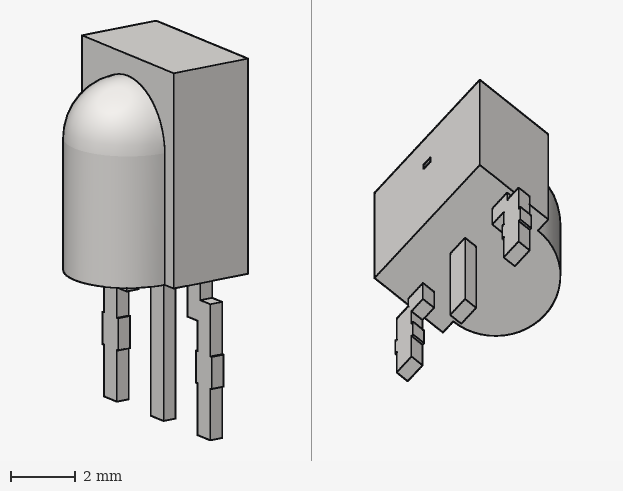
import cadquery as cq

OVERALL_HEIGHT = 11.95
OVERALL_WIDTH = 5.93

HOUSING_WIDTH = 5.0
HOUSING_DEPTH = 2.8
HOUSING_HEIGHT = 6.95

LENS_RADIUS = 2.01
LENS_COLUMN_HEIGHT = 4.25

PAD_SIZE = 0.32
PAD_HEIGHT = 0.01
PAD_CENTER_Z = 4.75

LEAD_LENGTH = OVERALL_HEIGHT - HOUSING_HEIGHT
LEAD_WIDTH = 0.7
LEAD_THICKNESS = 0.45
LEAD_FRONT_Y = 1.1

LEAD_ROOT_X = 2.0
JOG_TOP_DEPTH = 0.6
STOP_WIDTH = 0.85
STOP_TOP_DEPTH = 2.28
STOP_LENGTH = 1.04
LEAD_TIP_X = (OVERALL_WIDTH - STOP_WIDTH) / 2


def make_block(width, depth, height, center_x, front_y, bottom_z):
    """Box centred on center_x, reaching back from front_y and up from bottom_z."""
    block = cq.Workplane("XY").box(width, depth, height, centered=(True, False, False))
    return block.translate((center_x, front_y, bottom_z))


def make_lens():
    """Full round column with a spherical top; its rear half lies inside the housing."""
    column = cq.Workplane("XY").circle(LENS_RADIUS).extrude(LENS_COLUMN_HEIGHT)
    dome = cq.Workplane("XY").sphere(LENS_RADIUS).translate((0, 0, LENS_COLUMN_HEIGHT))
    return column.union(dome)


def make_housing():
    block = make_block(HOUSING_WIDTH, HOUSING_DEPTH, HOUSING_HEIGHT, 0, 0, 0)
    pad = make_block(PAD_SIZE, PAD_HEIGHT, PAD_SIZE, 0, HOUSING_DEPTH, PAD_CENTER_Z - PAD_SIZE / 2)
    return block.union(make_lens()).union(pad)


def make_strip(width, center_x, top_depth, bottom_depth):
    """Straight piece of lead between two depths below the housing."""
    length = bottom_depth - top_depth
    return make_block(width, LEAD_THICKNESS, length, center_x, LEAD_FRONT_Y, -bottom_depth)


def make_center_lead():
    return make_strip(LEAD_WIDTH, 0, 0, LEAD_LENGTH)


def make_outer_lead(side):
    """Cranked lead; side is -1 for the -X lead and +1 for the +X lead."""
    root_x = side * LEAD_ROOT_X
    tip_x = side * LEAD_TIP_X
    root = make_strip(LEAD_WIDTH, root_x, 0, JOG_TOP_DEPTH + LEAD_WIDTH)
    tip = make_strip(LEAD_WIDTH, tip_x, JOG_TOP_DEPTH, LEAD_LENGTH)
    stop = make_strip(STOP_WIDTH, tip_x, STOP_TOP_DEPTH, STOP_TOP_DEPTH + STOP_LENGTH)
    return root.union(tip).union(stop)


housing = make_housing()
center_lead = make_center_lead()
outer_leads = [make_outer_lead(side) for side in (-1, 1)]

result = cq.Compound.makeCompound(
    [housing.val(), center_lead.val(), *[lead.val() for lead in outer_leads]]
)